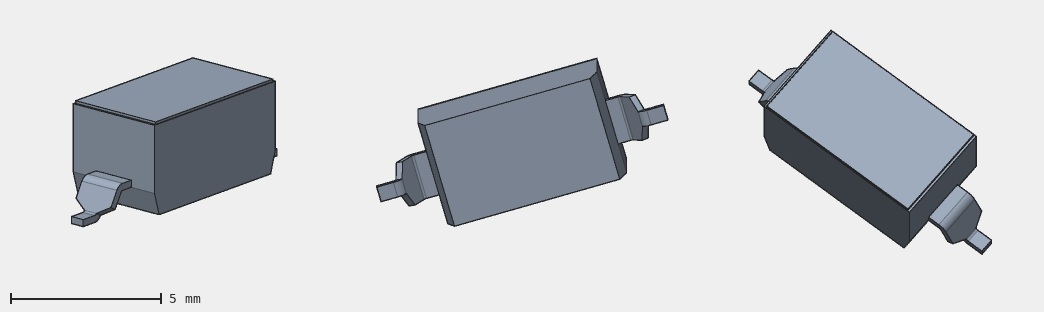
import cadquery as cq
import math

body_width = 3.54
body_length = 6.18
body_bottom_length = 5.7
body_bottom_z = 0.22
taper_top_z = 1.02
cap_height = 0.09
cap_end_inset = 0.09
cap_side_inset = 0.03
total_height = 3.48

total_length = 9.9
lead_thickness = 0.25
lead_top_z = 1.27
lead_width = 1.52
foot_width = 0.51
shoulder_taper_length = 0.32
bend_start_y = 3.52
inner_radius = 0.1
outer_radius = inner_radius + lead_thickness
slope = math.radians(60)
embed_depth = 0.1

bend_drop = 1 - math.cos(slope)
outer_run = outer_radius * math.sin(slope)
outer_drop = outer_radius * bend_drop
inner_run = inner_radius * math.sin(slope)
inner_drop = inner_radius * bend_drop

plate_top_y = bend_start_y + outer_run
plate_top_z = lead_top_z - outer_drop
plate_end_z = lead_thickness + inner_drop
plate_length = (plate_top_z - plate_end_z) / math.sin(slope)
plate_end_y = plate_top_y + plate_length * math.cos(slope)
foot_bend_y = plate_end_y + inner_run


def make_body():
    top_z = total_height - cap_height
    half_length = body_length / 2
    half_bottom = body_bottom_length / 2
    block = (
        cq.Workplane("YZ")
        .polyline([
            (-half_bottom, body_bottom_z),
            (half_bottom, body_bottom_z),
            (half_length, taper_top_z),
            (half_length, top_z),
            (-half_length, top_z),
            (-half_length, taper_top_z),
        ])
        .close()
        .extrude(body_width / 2, both=True)
    )
    cap = (
        cq.Workplane("XY")
        .workplane(offset=top_z)
        .rect(body_width - 2 * cap_side_inset, body_length - 2 * cap_end_inset)
        .extrude(cap_height)
    )
    return block.union(cap)


def bent_strip(flat_end_y, bend_y, center_z, side, width):
    """Flat strip and its bend; side is +1 above the bend center and -1 below it."""

    def on_bend(radius, angle):
        return (bend_y + side * radius * math.sin(angle), center_z + side * radius * math.cos(angle))

    return (
        cq.Workplane("YZ")
        .moveTo(flat_end_y, center_z + side * outer_radius)
        .lineTo(*on_bend(outer_radius, 0))
        .threePointArc(on_bend(outer_radius, slope / 2), on_bend(outer_radius, slope))
        .lineTo(*on_bend(inner_radius, slope))
        .threePointArc(on_bend(inner_radius, slope / 2), on_bend(inner_radius, 0))
        .lineTo(flat_end_y, center_z + side * inner_radius)
        .close()
        .extrude(width / 2, both=True)
    )


def make_sloping_plate():
    """Plate narrowing to the foot width; local y runs up the slope from the foot end."""
    plane = cq.Plane(
        origin=(0, plate_end_y, plate_end_z),
        xDir=(-1, 0, 0),
        normal=(0, math.sin(slope), math.cos(slope)),
    )
    return (
        cq.Workplane(plane)
        .polyline([
            (-foot_width / 2, 0),
            (foot_width / 2, 0),
            (lead_width / 2, shoulder_taper_length),
            (lead_width / 2, plate_length),
            (-lead_width / 2, plate_length),
            (-lead_width / 2, shoulder_taper_length),
        ])
        .close()
        .extrude(-lead_thickness)
    )


def make_lead():
    shoulder = bent_strip(
        body_length / 2 - embed_depth, bend_start_y, lead_top_z - outer_radius, 1, lead_width
    )
    foot = bent_strip(total_length / 2, foot_bend_y, outer_radius, -1, foot_width)
    return shoulder.union(make_sloping_plate()).union(foot)


lead = make_lead()
result = make_body().union(lead).union(lead.mirror("XZ"))